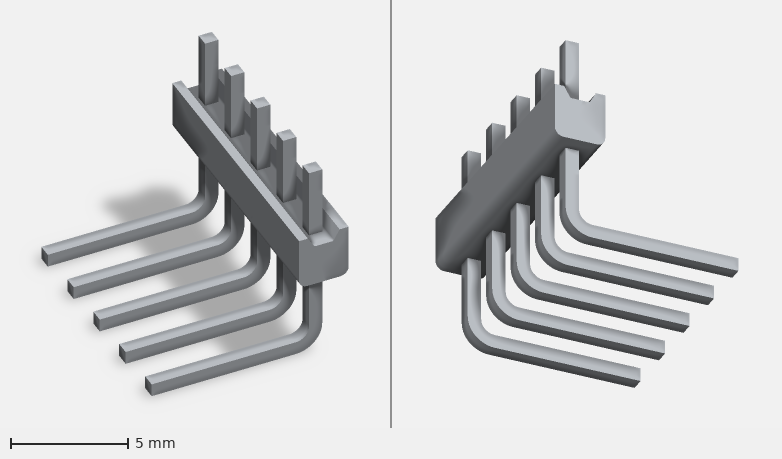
import cadquery as cq
import math

pin_count = 5
pitch = 2.54
pin_size = 0.63
bend_inner_radius = 0.63
pin_rise = 2.80
pin_drop = 4.14
tail_reach = 7.765

housing_length = 12.4
housing_depth = 2.35
housing_height = 2.52
bottom_edge_radius = 0.40
groove_top_width = 1.50
groove_depth = 0.52
groove_wall_angle = 60
groove_floor_radius = 0.10


def make_housing():
    """Bar with rounded lower long edges and a tapered groove, rounded at its floor, along its top."""
    groove_floor_z = housing_height - groove_depth
    wall_run = groove_depth / math.tan(math.radians(groove_wall_angle))
    groove_floor_width = groove_top_width - 2 * wall_run
    bar = (
        cq.Workplane("XY")
        .box(housing_length, housing_depth, housing_height, centered=(True, True, False))
        .edges("|X and <Z")
        .fillet(bottom_edge_radius)
    )
    groove = (
        cq.Workplane("YZ")
        .moveTo(-groove_floor_width / 2, groove_floor_z)
        .lineTo(groove_floor_width / 2, groove_floor_z)
        .lineTo(groove_top_width / 2, housing_height)
        .lineTo(-groove_top_width / 2, housing_height)
        .close()
        .extrude(housing_length / 2, both=True)
        .edges("|X and <Z")
        .fillet(groove_floor_radius)
    )
    return bar.cut(groove)


def make_pin(x):
    """Square pin, upright through the housing, then bent to run toward -Y."""
    half = pin_size / 2
    top_z = housing_height + pin_rise
    bottom_z = -pin_drop
    tail_top_z = bottom_z + pin_size
    bend_outer_radius = bend_inner_radius + pin_size
    bend_z = bottom_z + bend_outer_radius
    bend_y = half - bend_outer_radius
    return (
        cq.Workplane("YZ", origin=(x, 0, 0))
        .moveTo(-half, top_z)
        .lineTo(half, top_z)
        .lineTo(half, bend_z)
        .radiusArc((bend_y, bottom_z), bend_outer_radius)
        .lineTo(-tail_reach, bottom_z)
        .lineTo(-tail_reach, tail_top_z)
        .lineTo(bend_y, tail_top_z)
        .radiusArc((-half, bend_z), -bend_inner_radius)
        .close()
        .extrude(half, both=True)
    )


result = make_housing()
first_pin_x = -(pin_count - 1) * pitch / 2
for index in range(pin_count):
    result = result.union(make_pin(first_pin_x + index * pitch))